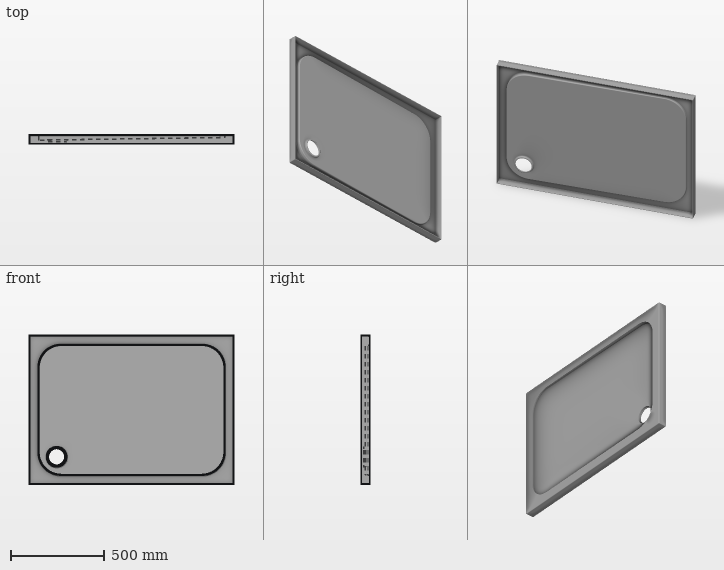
import cadquery as cq

LENGTH = 1100.0
HEIGHT = 800.0
DEPTH = 48.0
SHEET = 3.0
EDGE_FILLET = 3.5
SKIRT_ROOT_FILLET = 2.0

BASIN_MARGIN = 50.0
BASIN_RADIUS = 121.0
BASIN_FILLET = 4.0
BASIN_DEPTH_DRAIN_END = 25.5
BASIN_DEPTH_FAR_END = 11.0

DRAIN_EDGE_DISTANCE = 148.0
DRAIN_HOLE_DIAMETER = 90.0
DRAIN_SEAT_DIAMETER = 107.0
DRAIN_SEAT_DEPTH = 10.0
DRAIN_SEAT_FILLET = 4.5

RIM_Y = DEPTH / 2
RIM_UNDERSIDE_Y = RIM_Y - SHEET
BASIN_LENGTH = LENGTH - 2 * BASIN_MARGIN
BASIN_HEIGHT = HEIGHT - 2 * BASIN_MARGIN
FLOOR_FALL = (BASIN_DEPTH_DRAIN_END - BASIN_DEPTH_FAR_END) / BASIN_LENGTH
DRAIN_X = -LENGTH / 2 + DRAIN_EDGE_DISTANCE
DRAIN_Z = -HEIGHT / 2 + DRAIN_EDGE_DISTANCE

PICK_MARGIN = 2.0


def floor_underside_y(x):
    """Y of the sloping floor's underside at a given X."""
    return RIM_UNDERSIDE_Y - BASIN_DEPTH_FAR_END - FLOOR_FALL * (BASIN_LENGTH / 2 - x)


DRAIN_FLOOR_Y = floor_underside_y(DRAIN_X)
DRAIN_TIP_Y = DRAIN_FLOOR_Y - DRAIN_SEAT_DEPTH


def plane_at(y):
    """XZ work plane at the given Y, whose normal points to -Y."""
    return cq.Workplane("XZ", origin=(0, y, 0))


def edges_around(body, center, size_x, size_z):
    """Edges of body lying wholly in a flat box about center, of the given X and Z sizes."""
    x, y, z = center
    reach_x = size_x / 2 + PICK_MARGIN
    reach_z = size_z / 2 + PICK_MARGIN
    low = (x - reach_x, y - PICK_MARGIN, z - reach_z)
    high = (x + reach_x, y + PICK_MARGIN, z + reach_z)
    return body.edges(cq.selectors.BoxSelector(low, high, boundingbox=True))


def make_skirted_rim():
    """Box open to -Y, with rounded outer edges."""
    box = plane_at(RIM_Y).rect(LENGTH, HEIGHT).extrude(DEPTH)
    box = box.edges("|Y or >Y").fillet(EDGE_FILLET)
    cavity = plane_at(RIM_UNDERSIDE_Y).rect(LENGTH - 2 * SHEET, HEIGHT - 2 * SHEET).extrude(DEPTH)
    cavity = cavity.faces(">Y").edges().fillet(SKIRT_ROOT_FILLET)
    return box.cut(cavity)


def make_basin(top_y, inset):
    """Solid between top_y and the sloping floor, moved inward from the underside by inset."""
    end_x = LENGTH / 2
    side_profile = [
        (-end_x, top_y),
        (end_x, top_y),
        (end_x, floor_underside_y(end_x) + inset),
        (-end_x, floor_underside_y(-end_x) + inset),
    ]
    wedge = cq.Workplane("XY").polyline(side_profile).close().extrude(HEIGHT / 2, both=True)
    outline = (
        cq.Sketch()
        .rect(BASIN_LENGTH - 2 * inset, BASIN_HEIGHT - 2 * inset)
        .vertices()
        .fillet(BASIN_RADIUS - inset)
    )
    return plane_at(top_y).placeSketch(outline).extrude(DEPTH).intersect(wedge)


def make_drain_cylinder(diameter, top_y, bottom_y):
    return plane_at(top_y).center(DRAIN_X, DRAIN_Z).circle(diameter / 2).extrude(top_y - bottom_y)


def add_basin_underside(tray):
    basin = make_basin(RIM_UNDERSIDE_Y, 0)
    basin = basin.faces("<Y").edges().fillet(BASIN_FILLET)
    tray = tray.union(basin)
    root = edges_around(tray, (0, RIM_UNDERSIDE_Y, 0), BASIN_LENGTH, BASIN_HEIGHT)
    return root.fillet(BASIN_FILLET)


def add_drain_seat_underside(tray):
    seat = make_drain_cylinder(DRAIN_SEAT_DIAMETER, DRAIN_FLOOR_Y + SHEET, DRAIN_TIP_Y)
    seat = seat.faces("<Y").edges().fillet(DRAIN_SEAT_FILLET)
    tray = tray.union(seat)
    center = (DRAIN_X, DRAIN_FLOOR_Y, DRAIN_Z)
    root = edges_around(tray, center, DRAIN_SEAT_DIAMETER, DRAIN_SEAT_DIAMETER)
    return root.fillet(DRAIN_SEAT_FILLET)


def cut_showering_side(tray):
    """Hollow the basin and drain seat from +Y down to the sheet thickness, and open the hole."""
    seat_recess = make_drain_cylinder(DRAIN_SEAT_DIAMETER - 2 * SHEET, RIM_Y, DRAIN_TIP_Y + SHEET)
    hole = make_drain_cylinder(DRAIN_HOLE_DIAMETER, RIM_Y, -RIM_Y)
    return tray.cut(make_basin(RIM_Y, SHEET)).cut(seat_recess).cut(hole)


tray = make_skirted_rim()
tray = add_basin_underside(tray)
tray = add_drain_seat_underside(tray)
result = cut_showering_side(tray)